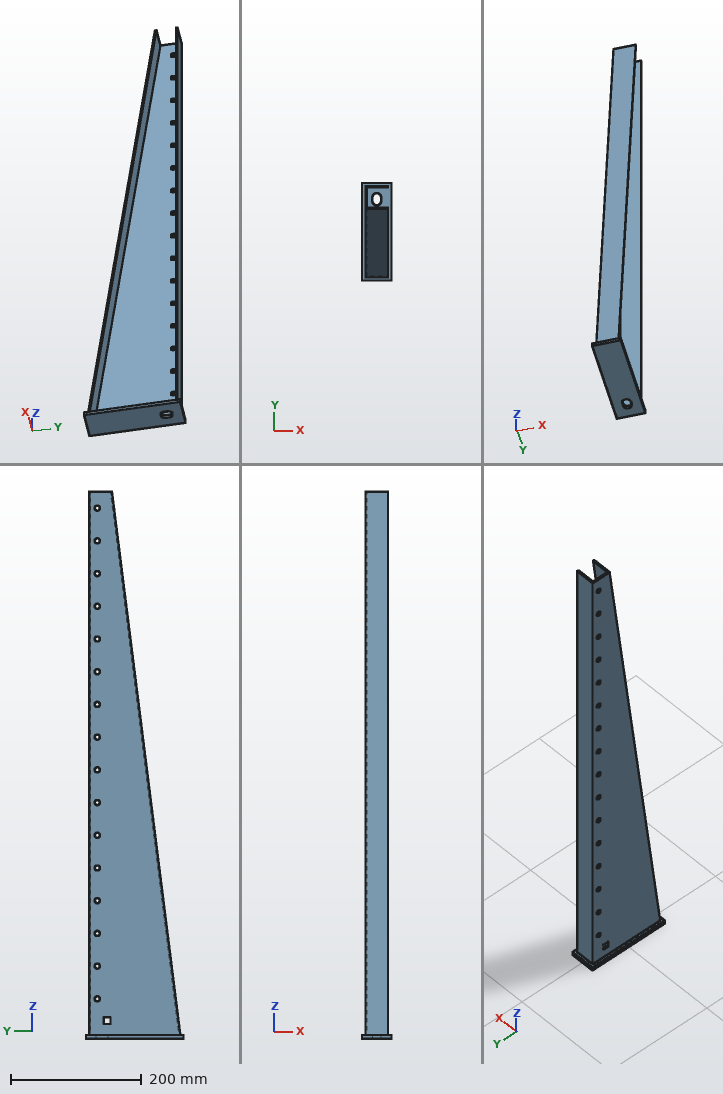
import cadquery as cq
import math

total_height = 836.0
base_width = 45.0
base_depth = 150.0
base_thickness = 6.0
base_ledge = 5.0

post_width = base_width - 2 * base_ledge
post_foot_depth = base_depth - 2 * base_ledge
post_top_depth = 35.0
sheet_thickness = 2.5

fixing_hole_count = 16
fixing_hole_diameter = 7.5
fixing_hole_row_length = 750.0
fixing_hole_pitch = fixing_hole_row_length / (fixing_hole_count - 1)
fixing_hole_top_gap = 25.0
fixing_hole_back_gap = 12.5

lower_hole_size = 10.0
lower_hole_back_gap = 28.0
lower_hole_height = 22.0

base_slot_width = 13.0
base_slot_length = 18.0
base_slot_back_gap = 20.0

web_x = -post_width / 2
back_y = base_depth / 2 - base_ledge
foot_front_y = back_y - post_foot_depth
top_front_y = back_y - post_top_depth


def make_base():
    """Flat plate with one slot, standing on Z = 0."""
    plate = cq.Workplane("XY").box(base_width, base_depth, base_thickness, centered=(True, True, False))
    slot = (
        cq.Workplane("XY")
        .center(0, back_y - base_slot_back_gap)
        .slot2D(base_slot_length, base_slot_width, 90)
        .extrude(base_thickness)
    )
    return plate.cut(slot)


def tapered_prism(x_start, x_end, front_inset, back_inset):
    """Tapered solid between two X values, its front and back moved in along Y."""
    return (
        cq.Workplane("YZ", origin=(x_start, 0, 0))
        .moveTo(foot_front_y + front_inset, base_thickness)
        .lineTo(back_y - back_inset, base_thickness)
        .lineTo(back_y - back_inset, total_height)
        .lineTo(top_front_y + front_inset, total_height)
        .close()
        .extrude(x_end - x_start)
    )


def make_channel():
    """Web at -X with a straight back flange and a sloping front flange."""
    rise = total_height - base_thickness
    taper = post_foot_depth - post_top_depth
    front_wall_y = sheet_thickness * math.hypot(rise, taper) / rise
    outside = tapered_prism(web_x, -web_x, 0, 0)
    cavity = tapered_prism(web_x + sheet_thickness, -web_x, front_wall_y, sheet_thickness)
    return outside.cut(cavity)


def web_plane():
    """Outer face of the web, with holes extruded inwards along +X."""
    return cq.Workplane("YZ", origin=(web_x, 0, 0))


def make_fixing_holes():
    """Evenly spaced round holes, counted from the top."""
    top_hole_z = total_height - fixing_hole_top_gap
    points = [
        (back_y - fixing_hole_back_gap, top_hole_z - i * fixing_hole_pitch)
        for i in range(fixing_hole_count)
    ]
    return web_plane().pushPoints(points).circle(fixing_hole_diameter / 2).extrude(sheet_thickness)


def make_lower_hole():
    """Square hole just above the base plate."""
    return (
        web_plane()
        .center(back_y - lower_hole_back_gap, base_thickness + lower_hole_height)
        .rect(lower_hole_size, lower_hole_size)
        .extrude(sheet_thickness)
    )


post = make_channel().cut(make_fixing_holes()).cut(make_lower_hole())

result = make_base().union(post)